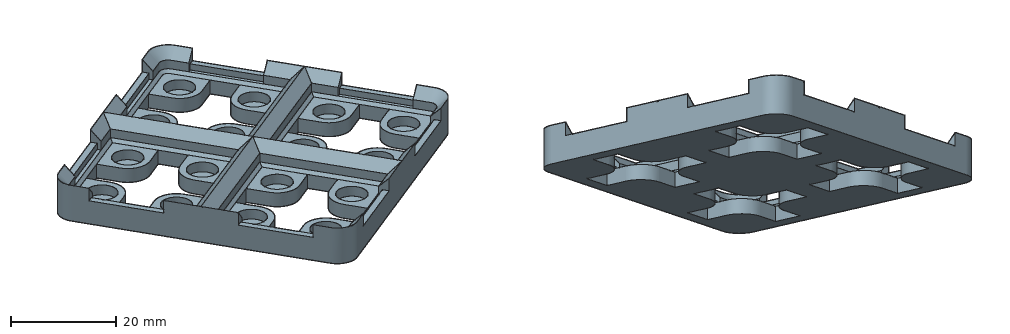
import cadquery as cq

cells_per_side = 2
plate_size = 60.0
cell_size = plate_size / cells_per_side
corner_radius = 4.0

flare_depth = 2.15
wall_depth = 1.85
foot_depth = 0.65
floor_height = 3.0
flare_angle = 45
ledge_height = floor_height + foot_depth
flare_height = ledge_height + wall_depth
plate_height = flare_height + flare_depth

magnet_diameter = 6.1
magnet_depth = 2.1
magnet_offset = cell_size / 4
pad_reach = 12.0
pad_radius = pad_reach - magnet_offset

notch_length = cell_size / 2
sill_width = 1.4
sill_depth = 2.7
sill_height = plate_height - sill_depth

cell_positions = [(index + 0.5) * cell_size - plate_size / 2 for index in range(cells_per_side)]
cell_centers = [(x, y) for x in cell_positions for y in cell_positions]


def cell_outline(x, y, inset, z):
    """Cell square shrunk by inset, rounded only at the corner that meets a plate corner."""
    side = cell_size - 2 * inset
    sketch = cq.Sketch().rect(side, side)
    plate_corner = f"{'>' if x > 0 else '<'}X and {'>' if y > 0 else '<'}Y"
    sketch = sketch.vertices(plate_corner).fillet(corner_radius - inset)
    return cq.Workplane("XY", origin=(x, y, z)).placeSketch(sketch)


def socket(x, y):
    """Stepped bin socket, from the rim down to the pad tops."""
    flare = cell_outline(x, y, 0, plate_height).extrude(-flare_depth, taper=flare_angle)
    wall = cell_outline(x, y, flare_depth, ledge_height).extrude(wall_depth)
    foot = cell_outline(x, y, flare_depth, ledge_height).extrude(-foot_depth, taper=flare_angle)
    return flare.union(wall).union(foot)


def floor_opening(x, y):
    """Opening through the cell floor that leaves a rounded magnet pad in each corner."""
    opening = cell_outline(x, y, flare_depth + foot_depth, 0).extrude(floor_height)
    pad_side = 2 * pad_reach
    pads = (
        cq.Workplane("XY", origin=(x, y, 0))
        .rect(cell_size, cell_size, forConstruction=True)
        .vertices()
        .rect(pad_side, pad_side)
        .extrude(floor_height)
        .edges("|Z")
        .fillet(pad_radius)
    )
    return opening.cut(pads)


def magnet_holes(x, y):
    """Blind magnet holes sunk into the four pads of a cell."""
    spacing = cell_size - 2 * magnet_offset
    return (
        cq.Workplane("XY", origin=(x, y, floor_height))
        .rect(spacing, spacing, forConstruction=True)
        .vertices()
        .circle(magnet_diameter / 2)
        .extrude(-magnet_depth)
    )


def notch_block(x, wall_inset, depth_across_wall, bottom, height):
    """Box of one notch length, starting at wall_inset behind the -Y face of the plate."""
    origin = (x, wall_inset - plate_size / 2, bottom)
    return cq.Workplane("XY", origin=origin).box(
        notch_length, depth_across_wall, height, centered=(True, False, False)
    )


def front_wall_notches():
    """Stepped notches in the -Y wall: an outer sill and a lower shelf level with the socket ledge."""
    notches = cq.Workplane("XY")
    for x in cell_positions:
        above_sill = notch_block(x, 0, flare_depth, sill_height, sill_depth)
        above_shelf = notch_block(
            x, sill_width, flare_depth - sill_width, ledge_height, sill_height - ledge_height
        )
        notches = notches.add(above_sill.union(above_shelf))
    return notches.combine()


result = (
    cq.Workplane("XY")
    .box(plate_size, plate_size, plate_height, centered=(True, True, False))
    .edges("|Z")
    .fillet(corner_radius)
)
for center_x, center_y in cell_centers:
    result = result.cut(socket(center_x, center_y))
    result = result.cut(floor_opening(center_x, center_y))
    result = result.cut(magnet_holes(center_x, center_y))

wall_notches = front_wall_notches()
for wall_angle in (0, 90, 180, 270):
    result = result.cut(wall_notches.rotate((0, 0, 0), (0, 0, 1), wall_angle))